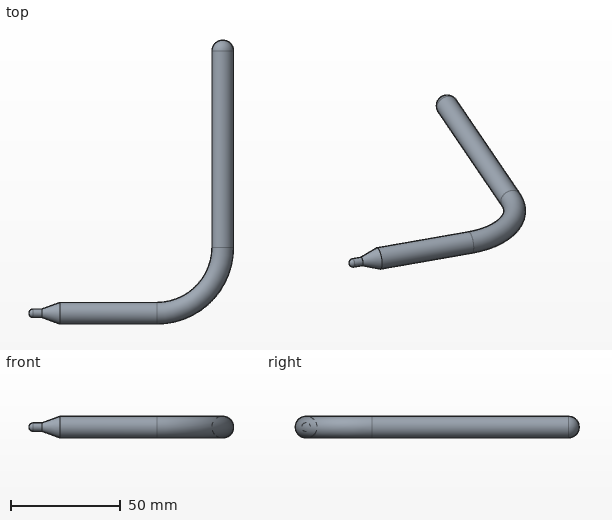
import cadquery as cq

length_x = 93.3
length_y = 129.5
tube_diameter = 10.0
pin_diameter = 4.0
pin_straight = 4.0
taper_length = 8.2
bend_radius = 30.0

tube_radius = tube_diameter / 2
pin_radius = pin_diameter / 2
short_leg_x = length_x - tube_radius - bend_radius
long_leg_y = length_y - tube_radius - bend_radius
pin_end = pin_radius + pin_straight
taper_end = pin_end + taper_length
dome_start = long_leg_y - tube_radius
arc_45 = 0.5 ** 0.5


def make_short_leg():
    """Leg along X with its pin tip at the origin: round tip, pin, taper and tube."""
    profile = (
        cq.Workplane("XY")
        .moveTo(0, 0)
        .threePointArc((pin_radius * (1 - arc_45), pin_radius * arc_45), (pin_radius, pin_radius))
        .lineTo(pin_end, pin_radius)
        .lineTo(taper_end, tube_radius)
        .lineTo(short_leg_x, tube_radius)
        .lineTo(short_leg_x, 0)
        .close()
    )
    return profile.revolve(360, (0, 0, 0), (1, 0, 0))


def make_bend():
    """Quarter-circle elbow that turns the tube from +X to +Y."""
    section = cq.Workplane("YZ", origin=(short_leg_x, 0, 0)).circle(tube_radius)
    return section.revolve(90, (bend_radius, 0, 0), (bend_radius, 1, 0))


def make_long_leg():
    """Leg along Y from the end of the bend, closed by a hemispherical dome."""
    profile = (
        cq.Workplane("XY", origin=(short_leg_x + bend_radius, bend_radius, 0))
        .moveTo(0, 0)
        .lineTo(tube_radius, 0)
        .lineTo(tube_radius, dome_start)
        .threePointArc((tube_radius * arc_45, dome_start + tube_radius * arc_45), (0, long_leg_y))
        .close()
    )
    return profile.revolve(360, (0, 0, 0), (0, 1, 0))


result = make_short_leg().union(make_bend()).union(make_long_leg())